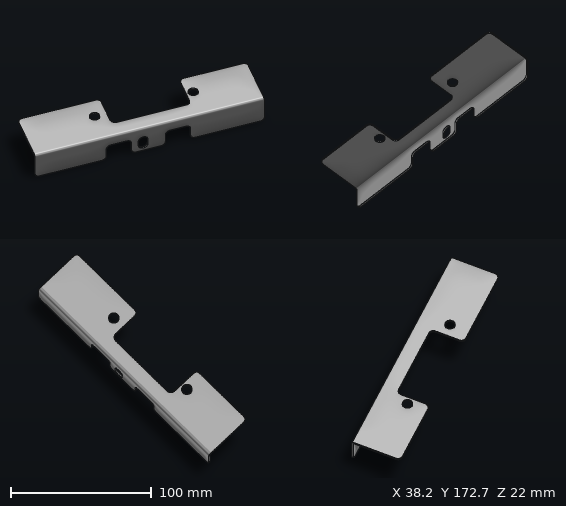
import cadquery as cq

length = 172.7
width = 38.2
height = 22.0
thickness = 1.5
bend_radius = 2.6
corner_radius = 3.5

plate_notch_depth = 25.7
plate_notch_min_y = -24.2
plate_notch_max_y = 35.2
hole_diameter = 7.3
hole_inset = 15.0
hole_positions_y = (-33.5, 40.6)

flange_notch_width = 18.8
flange_notch_height = 13.5
tab_min_y = -13.8
tab_max_y = 11.7
slot_width = 7.3
slot_height = 11.0
slot_center_y = -5.0

free_edge_x = -width / 2
bend_edge_x = width / 2
bottom_z = -height


def angle_blank():
    """L-shaped sheet with a rounded bend along its whole length."""
    outside = cq.Workplane("XY").box(width, length, height).edges(">X and >Z").fillet(bend_radius)
    inside = (
        cq.Workplane("XY")
        .box(width, length, height)
        .translate((-thickness, 0, -thickness))
        .edges(">X and >Z")
        .fillet(bend_radius - thickness)
    )
    return outside.cut(inside).translate((0, 0, -height / 2))


def plate_cutter(min_y, max_y):
    """Cutter for a notch from the free edge of the horizontal leg."""
    return cq.Workplane("XY").box(
        plate_notch_depth, max_y - min_y, thickness, centered=False
    ).translate((free_edge_x, min_y, -thickness))


def flange_cutter(min_y):
    """Cutter for a notch from the lower edge of the vertical leg."""
    return cq.Workplane("XY").box(
        thickness, flange_notch_width, flange_notch_height, centered=False
    ).translate((bend_edge_x - thickness, min_y, bottom_z))


bracket = angle_blank().cut(plate_cutter(plate_notch_min_y, plate_notch_max_y))
for notch_min_y in (tab_min_y - flange_notch_width, tab_max_y):
    bracket = bracket.cut(flange_cutter(notch_min_y))

bracket = bracket.edges("|Z").edges(cq.selectors.BoxSelector(
    (free_edge_x - thickness, -length, -thickness),
    (free_edge_x + plate_notch_depth + thickness, length, thickness),
)).fillet(corner_radius)
bracket = bracket.edges("|X").edges(cq.selectors.BoxSelector(
    (bend_edge_x - thickness, -length, bottom_z - thickness),
    (bend_edge_x, length, bottom_z + flange_notch_height + thickness),
)).fillet(corner_radius)

holes = (
    cq.Workplane("XY")
    .pushPoints([(free_edge_x + hole_inset, y) for y in hole_positions_y])
    .circle(hole_diameter / 2)
    .extrude(-thickness)
)

slot_center_z = bottom_z + flange_notch_height - slot_height / 2
slot = (
    cq.Workplane("YZ", origin=(bend_edge_x - thickness, 0, 0))
    .center(slot_center_y, slot_center_z)
    .slot2D(slot_height, slot_width, 90)
    .extrude(thickness)
)

result = bracket.cut(holes).cut(slot)